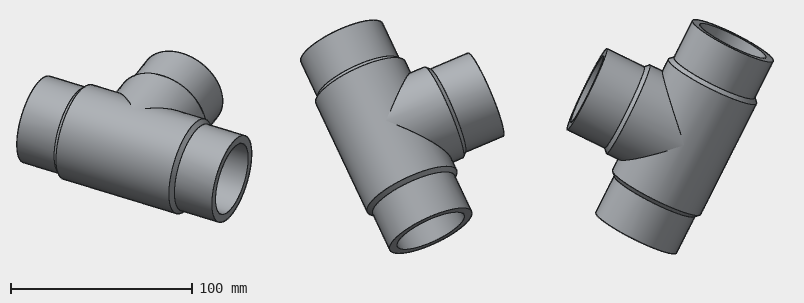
import cadquery as cq

run_length = 120.0
body_diameter = 54.6
spigot_diameter = 50.0
bore_diameter = 40.8
spigot_length = 23.0

arm_length = run_length / 2
body_length = arm_length - spigot_length
shoulder_bevel = (body_diameter - spigot_diameter) / 2

arm_directions = {
    "-X": (-1, 0, 0),
    "+X": (1, 0, 0),
    "+Y": (0, 1, 0),
}


def arm_cylinder(arm, diameter, length):
    """Cylinder running from the tee centre outward along one arm."""
    plane = cq.Plane(origin=(0, 0, 0), xDir=(0, 0, 1), normal=arm_directions[arm])
    return cq.Workplane(plane).circle(diameter / 2).extrude(length)


def arm_outside(arm):
    """Outside of one arm: thick body, bevelled shoulder, thin spigot."""
    body = arm_cylinder(arm, body_diameter, body_length)
    body = body.faces(arm).chamfer(shoulder_bevel)
    spigot = arm_cylinder(arm, spigot_diameter, arm_length)
    return body.union(spigot)


outside = cq.Workplane()
bores = cq.Workplane()
for arm in arm_directions:
    outside = outside.add(arm_outside(arm))
    bores = bores.add(arm_cylinder(arm, bore_diameter, arm_length))

result = outside.combine().cut(bores.combine())